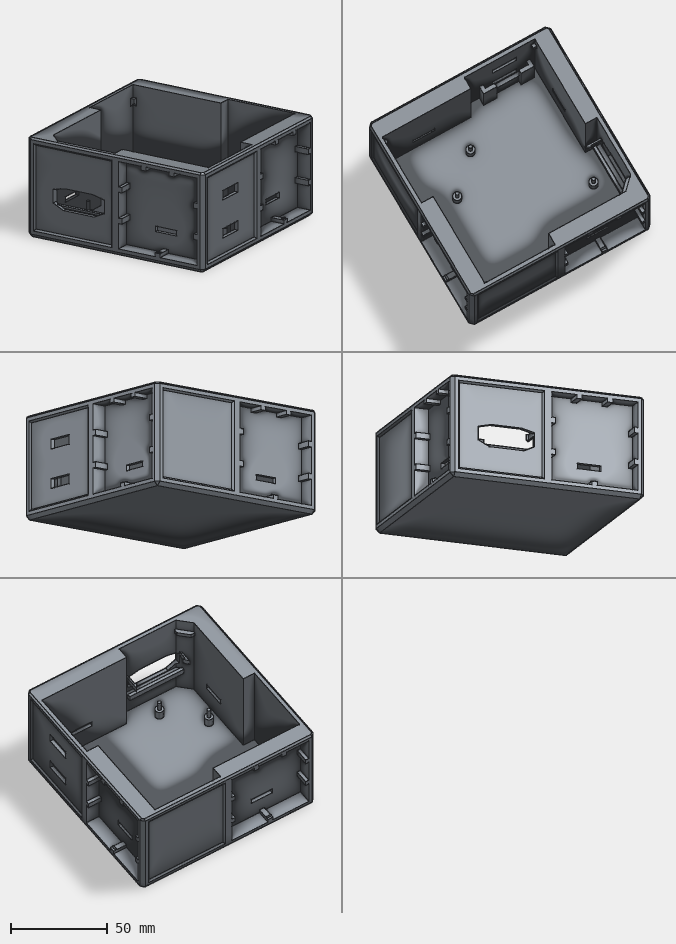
import cadquery as cq

side = 108.0
height = 55.0
bevel = 2.0
top_bevel = 1.0
floor_top = 2.4
thin_wall = 3.1
thick_wall = 10.0
step = 52.1
back_step = 51.0
corner_cut = 6.7

rib = 4.0
recess_size = side / 2 - 1.5 * rib
panel_centre = rib + recess_size / 2
socket_centre = side - panel_centre
recess_mid_z = rib + recess_size / 2
panel_depth = 1.0
panel_taper = 45
socket_depth = 8.0

rail_width = 3.0
rail_height = 2.0
rail_spacing = 17.2
bead_radius = 0.49
bead_depth = 1.6
slot_width = 13.0
slot_height = 3.0
slot_z = 16.0

stop_size = 2.2
stop_top = 48.0
stop_lip = 2.2
diagonal_stop_offset = 3.3
stop_overlap = 1.0

pin_centre = (49.0, 47.5)
pin_span_long = 66.1
pin_span_short = 26.1
post_diameter = 4.8
post_top = 7.6
pin_diameter = 1.9
pin_top = 13.0

window_left = 15.4
window_right = 46.8
window_top = 30.5
window_bottom = 18.3
window_side_top = 28.7
window_side_bottom = 21.3
window_top_inset = 7.2
window_bottom_inset = 6.3

shelf_left = 14.6
shelf_right = 48.4
shelf_thickness = 2.0
shelf_lip_start = 5.6
shelf_end = 7.5
shelf_lip_height = 1.1
shelf_top = 17.7
clip_thickness = 1.0
clip_end = 12.6
clip_hook_reach = 1.3
clip_hook_shoulder = 9.7
clip_bottom = 27.3
clip_height = 3.0

bracket_length = 30.2
bracket_wall = 2.3
bracket_slot_depth = 2.3
bracket_lip_gap = 14.4
bracket_top = 23.1
bracket_ledge_top = 11.9
side_window_width = bracket_lip_gap
side_window_height = 5.2
upper_window_z = 36.9


def block(x0, x1, y0, y1, z0, z1):
    return cq.Workplane("XY").box(x1 - x0, y1 - y0, z1 - z0, centered=False).translate((x0, y0, z0))


def on_each_side(shape):
    """Copies of a front-side shape on all four sides of the housing."""
    centre = (side / 2, side / 2)
    return [
        shape.rotate((*centre, 0), (*centre, 1), 90 * turn)
        for turn in range(4)
    ]


def housing_block():
    full_height = height + bevel - top_bevel
    body = cq.Workplane("XY").box(side, side, full_height, centered=False).edges().chamfer(bevel)
    return body.intersect(block(0, side, 0, side, 0, height))


def cavity():
    far_thin = side - thin_wall
    far_thick = side - thick_wall
    outline = [
        (thick_wall + corner_cut, thin_wall),
        (step, thin_wall),
        (step, thick_wall),
        (far_thin, thick_wall),
        (far_thin, step),
        (far_thick, step),
        (far_thick, far_thin),
        (side - back_step, far_thin),
        (side - back_step, far_thick),
        (thin_wall, far_thick),
        (thin_wall, side - step),
        (thick_wall, side - step),
        (thick_wall, thin_wall + corner_cut),
    ]
    return cq.Workplane("XY").workplane(offset=floor_top).polyline(outline).close().extrude(height)


def panel_recess():
    return (
        cq.Workplane("XZ").center(panel_centre, recess_mid_z)
        .rect(recess_size, recess_size).extrude(-panel_depth, taper=panel_taper)
    )


def socket():
    """Deep recess with a wire slot through its floor, less the rails left standing in it.

    The lowest rail carries a small snap bead across its top near the open end.
    """
    half = recess_size / 2
    x0 = socket_centre - half
    x1 = socket_centre + half
    z0 = recess_mid_z - half
    z1 = recess_mid_z + half
    shape = block(x0, x1, 0, socket_depth, z0, z1)

    def rail(xa, xb, za, zb):
        return block(xa, xb, 0, socket_depth, za, zb)

    half_width = rail_width / 2
    rail_top = z0 + rail_height
    for offset in (-rail_spacing / 2, rail_spacing / 2):
        z = recess_mid_z + offset
        x = socket_centre + offset
        shape = shape.cut(rail(x0, x0 + rail_height, z - half_width, z + half_width))
        shape = shape.cut(rail(x1 - rail_height, x1, z - half_width, z + half_width))
        shape = shape.cut(rail(x - half_width, x + half_width, z1 - rail_height, z1))
    shape = shape.cut(rail(socket_centre - half_width, socket_centre + half_width, z0, rail_top))
    bead = (
        cq.Workplane("YZ").center(bead_depth, rail_top).circle(bead_radius)
        .extrude(half_width, both=True).translate((socket_centre, 0, 0))
    )
    shape = shape.cut(bead)
    slot = block(
        socket_centre - slot_width / 2, socket_centre + slot_width / 2, socket_depth, thick_wall,
        slot_z - slot_height / 2, slot_z + slot_height / 2,
    )
    return shape.union(slot)


def lid_stop(x, y, x_direction, y_direction):
    """Post in a cavity corner, joined from two brackets that each slope down to one wall at 45 degrees."""
    profile = [
        (0, 0),
        (stop_size, 0),
        (stop_size, -stop_lip),
        (0, -stop_lip - stop_size),
    ]
    x_bracket = cq.Workplane("XZ").polyline(profile).close().extrude(-stop_size)
    y_bracket = cq.Workplane("YZ").polyline(profile).close().extrude(stop_size)
    post = x_bracket.union(y_bracket)
    if x_direction < 0:
        post = post.mirror("YZ")
    if y_direction < 0:
        post = post.mirror("XZ")
    return post.translate((x, y, stop_top))


def diagonal_stop():
    """Lid stop along the slanted corner, ending square to the two walls beside it."""
    reach = corner_cut + stop_overlap
    inner_edge = corner_cut + diagonal_stop_offset - reach
    outline = [
        (0, corner_cut),
        (0, reach),
        (inner_edge, reach),
        (reach, inner_edge),
        (reach, 0),
        (corner_cut, 0),
    ]
    return (
        cq.Workplane("XY").polyline(outline).close().extrude(stop_lip)
        .translate((thick_wall, thin_wall, stop_top - stop_lip))
    )


def board_pins():
    posts = (
        cq.Workplane("XY").workplane(offset=floor_top)
        .transformed(offset=(*pin_centre, 0), rotate=(0, 0, 45))
        .rect(pin_span_long, pin_span_short, forConstruction=True).vertices()
    )
    post = posts.circle(post_diameter / 2).extrude(post_top - floor_top)
    pin = posts.circle(pin_diameter / 2).extrude(pin_top - floor_top)
    return post.union(pin)


def front_window():
    """Opening through the wall and the lower end of the slanted cavity corner behind it."""
    outline = [
        (window_left + window_bottom_inset, window_bottom),
        (window_right - window_bottom_inset, window_bottom),
        (window_right, window_side_bottom),
        (window_right, window_side_top),
        (window_right - window_top_inset, window_top),
        (window_left + window_top_inset, window_top),
        (window_left, window_side_top),
        (window_left, window_side_bottom),
    ]
    return cq.Workplane("XZ").polyline(outline).close().extrude(-shelf_lip_start)


def module_holder():
    shelf = block(shelf_left, shelf_right, thin_wall, shelf_end, shelf_top - shelf_thickness, shelf_top)
    lip = block(shelf_left, shelf_right, shelf_lip_start, shelf_end,
                shelf_top, shelf_top + shelf_lip_height)
    holder = shelf.union(lip)
    for inner_x, outward in ((window_left, -1), (window_right, 1)):
        outer_x = inner_x + outward * clip_thickness
        clip = (
            cq.Workplane("XY").workplane(offset=clip_bottom)
            .moveTo(outer_x, thin_wall)
            .lineTo(outer_x, clip_end)
            .lineTo(inner_x - outward * clip_hook_reach, clip_hook_shoulder)
            .lineTo(inner_x, clip_hook_shoulder)
            .lineTo(inner_x, thin_wall)
            .close().extrude(clip_height)
        )
        holder = holder.union(clip)
    return holder


def board_bracket():
    wall_x = side - thin_wall
    slot_x = wall_x - bracket_slot_depth
    lip_x = slot_x - bracket_wall
    half = bracket_length / 2
    body = block(lip_x, wall_x, panel_centre - half, panel_centre + half, floor_top, bracket_top)
    slot_half = half - bracket_wall
    slot = block(slot_x, wall_x, panel_centre - slot_half, panel_centre + slot_half,
                 bracket_ledge_top, bracket_top)
    gap_half = bracket_lip_gap / 2
    gap = block(lip_x, slot_x, panel_centre - gap_half, panel_centre + gap_half, floor_top, bracket_top)
    return body.cut(slot).cut(gap)


def side_windows():
    half_width = side_window_width / 2
    half_height = side_window_height / 2
    lower, upper = [
        block(side - thin_wall, side, panel_centre - half_width, panel_centre + half_width,
              z - half_height, z + half_height)
        for z in (slot_z, upper_window_z)
    ]
    return lower.union(upper)


result = housing_block().cut(cavity())
for recess in on_each_side(panel_recess()) + on_each_side(socket()):
    result = result.cut(recess)
result = result.cut(front_window()).cut(side_windows())
result = result.union(board_pins()).union(module_holder()).union(board_bracket())
result = result.union(diagonal_stop())
result = result.union(lid_stop(thin_wall, side - thick_wall, 1, -1))
result = result.union(lid_stop(side - thick_wall, side - thin_wall, -1, -1))
result = result.union(lid_stop(side - thin_wall, thick_wall, -1, 1))